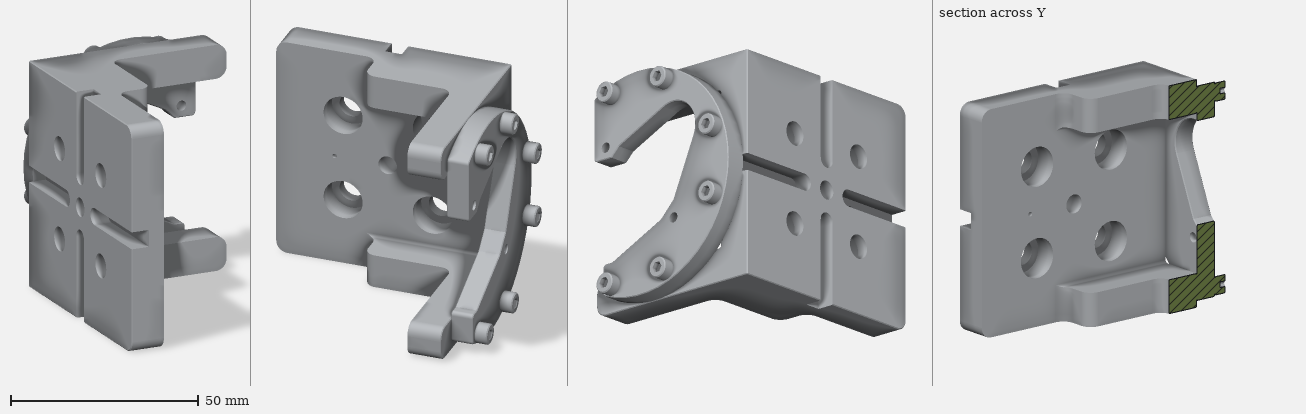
import cadquery as cq
import math

side = 63.5
depth = 53.98
wall = 9.525
step_length = 34.8
step_height = 19.6
corner_radius = 3.175
edge_break = 0.25
window_corner_radius = 0.8

slot_width = 4.76
slot_depth = 5.08
slot_gap = 6.35
base_centre_x = side / 2
center_hole_diameter = 5.28
mount_hole_diameter = 6.76
mount_hole_offset = 12.7
mount_bore_diameter = 11.11
mount_bore_depth = 6.35
index_hole_diameter = 1.3
index_hole_offset = 15.1

plate_thickness = 6.2
plate_radius = side / 2
plate_center_y = 33.02
upper_tip_y = 49.4
upper_tip_z = 9.4
lower_tip_y = 46.2
lower_tip_z = -20.2
tip_radius = 1.1

flank_slope = math.tan(math.radians(25))
back_flank_slope = math.tan(math.radians(23.3))
apex_radius = 7.95
elbow_offset = 10.6
elbow_chamfer = 3.4
pin_hole_diameter = 2.84
pin_offset_y = 12.14
pin_offset_z = 12.65

bolt_circle_radius = 28.575
bolt_spacing = 19.05
head_diameter = 5.74
head_height = 3.66
head_chamfer = 0.3
socket_across_flats = 2.778
socket_depth = 1.7


def make_bracket_body():
    profile = [
        (0, 0),
        (side, 0),
        (side, wall),
        (step_length, wall),
        (step_length, step_height),
        (wall, step_height),
        (wall, depth),
        (0, depth),
    ]
    body = cq.Workplane("XY").polyline(profile).close().extrude(side / 2, both=True)
    for x, y in ((step_length, wall), (step_length, step_height), (wall, step_height)):
        body = body.edges(cq.selectors.NearestToPointSelector((x, y, 0))).fillet(corner_radius)

    window_height = side - 2 * wall
    window = (
        cq.Workplane("XY")
        .box(side, depth, window_height, centered=(False, False, True))
        .edges("|X and <Y")
        .fillet(window_corner_radius)
        .translate((0, wall, 0))
    )
    body = body.cut(window)
    body = body.edges("|X and >Y").fillet(corner_radius)
    body = body.edges("|Y and >X").fillet(corner_radius)
    return body.faces("<X or <Y").edges().chamfer(edge_break)


def make_slot(angle):
    straight = side / 2 - slot_gap - slot_width / 2
    slot = (
        cq.Workplane("XY")
        .circle(slot_width / 2)
        .extrude(slot_depth)
        .union(cq.Workplane("XY").box(straight, slot_width, slot_depth, centered=(False, True, False)))
        .translate((slot_gap + slot_width / 2, 0, 0))
        .rotate((0, 0, 0), (0, 0, 1), angle)
    )
    return on_base(slot)


def on_base(feature):
    """Lay a feature built upward from the XY plane onto the front face, at the base centre."""
    return feature.rotate((0, 0, 0), (1, 0, 0), -90).translate((base_centre_x, 0, 0))


def make_base_hole(x, z, diameter, start=0):
    """Round cutter through the base at (x, z) from its centre, beginning at height start."""
    cutter = cq.Workplane("XY", origin=(x, -z, start)).circle(diameter / 2).extrude(wall - start)
    return on_base(cutter)


def make_bracket():
    bracket = make_bracket_body()
    for angle in (0, 90, 180, 270):
        bracket = bracket.cut(make_slot(angle))
    for x in (-mount_hole_offset, mount_hole_offset):
        for z in (-mount_hole_offset, mount_hole_offset):
            bracket = bracket.cut(make_base_hole(x, z, mount_hole_diameter))
            bracket = bracket.cut(make_base_hole(x, z, mount_bore_diameter, wall - mount_bore_depth))
    bracket = bracket.cut(make_base_hole(0, 0, center_hole_diameter))
    return bracket.cut(make_base_hole(index_hole_offset, 0, index_hole_diameter))


def plate_plane():
    """Local axes Y and Z, origin at the plate centre on the wall face, normal +X."""
    return cq.Workplane("YZ", origin=(0, plate_center_y, 0))


def mirrored(point):
    """Reflect a point across the 45 degree line through the plate centre."""
    return (-point[1], -point[0])


def edge_at(solid, point):
    """Select the edge along X that lies nearest a point given from the plate centre."""
    location = (-plate_thickness / 2, plate_center_y + point[0], point[1])
    return solid.edges("|X").edges(cq.selectors.NearestToPointSelector(location))


def make_opening():
    """Kite-shaped opening with a rounded apex and bevelled elbows, running out between the arm tips."""
    slope_product = flank_slope * back_flank_slope
    apex_z = elbow_offset * (1 + 2 * flank_slope + slope_product) / (1 - slope_product)
    apex = (-elbow_offset - (apex_z + elbow_offset) * back_flank_slope, apex_z)
    elbow = (-elbow_offset, -elbow_offset)
    lip = (elbow[0] + (elbow[1] - lower_tip_z) / flank_slope, lower_tip_z)
    kite_points = [apex, elbow, lip, mirrored(lip), mirrored(elbow)]
    kite = plate_plane().polyline(kite_points).close().extrude(-plate_thickness)
    kite = edge_at(kite, apex).fillet(apex_radius)
    kite = edge_at(kite, elbow).chamfer(elbow_chamfer)
    kite = edge_at(kite, mirrored(elbow)).chamfer(elbow_chamfer)
    mouth = (
        plate_plane()
        .center(lip[0], lower_tip_z)
        .rect(plate_radius, upper_tip_z - lower_tip_z, centered=False)
        .extrude(-plate_thickness)
    )
    return kite.union(mouth)


def make_plate():
    plate = plate_plane().circle(plate_radius).extrude(-plate_thickness)
    tips = []
    for tip_y, tip_z, z_sign in ((upper_tip_y, upper_tip_z, 1), (lower_tip_y, lower_tip_z, -1)):
        reach = tip_y - plate_center_y
        trim = (
            plate_plane()
            .center(reach, 0)
            .rect(plate_radius, z_sign * plate_radius, centered=False)
            .extrude(-plate_thickness)
        )
        plate = plate.cut(trim)
        tips.append((reach, tip_z))
        tips.append((reach, z_sign * math.sqrt(plate_radius**2 - reach**2)))
    plate = plate.cut(make_opening())
    for tip in tips:
        plate = edge_at(plate, tip).fillet(tip_radius)
    plate = plate.faces("<X or >X").edges().chamfer(edge_break)

    pin_points = [(pin_offset_y, pin_offset_z), (-pin_offset_y, -pin_offset_z)]
    pins = plate_plane().pushPoints(pin_points).circle(pin_hole_diameter / 2).extrude(-plate_thickness)
    return plate.cut(pins)


def make_screw_head(y, z):
    socket_across_corners = socket_across_flats / math.cos(math.pi / 6)
    head = (
        cq.Workplane("YZ")
        .circle(head_diameter / 2)
        .extrude(-head_height)
        .faces("<X or >X")
        .edges()
        .chamfer(head_chamfer)
    )
    socket = (
        cq.Workplane("YZ", origin=(-head_height, 0, 0))
        .polygon(6, socket_across_corners)
        .extrude(socket_depth)
    )
    return head.cut(socket).translate((-plate_thickness, plate_center_y + y, z))


def screw_positions():
    """Three pairs on the bolt circle, straddling the top, the bottom and the front of the plate."""
    near = bolt_spacing / 2
    far = math.sqrt(bolt_circle_radius**2 - near**2)
    positions = []
    for sign in (-1, 1):
        positions.append((sign * near, far))
        positions.append((sign * near, -far))
        positions.append((-far, sign * near))
    return positions


result = make_bracket().union(make_plate())
for screw_y, screw_z in screw_positions():
    result = result.union(make_screw_head(screw_y, screw_z))